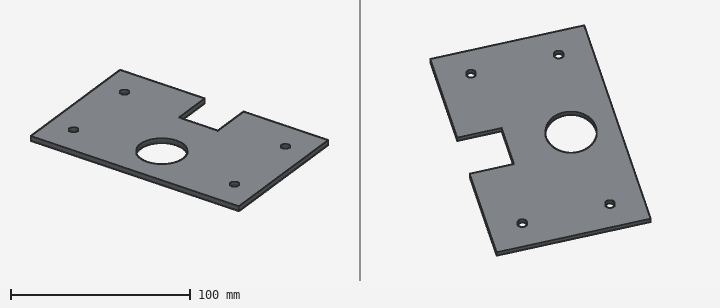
import cadquery as cq

length = 139.7
width = 88.8
thickness = 3.2

notch_width = 26.0
notch_depth = 25.5

opening_diameter = 28.6
opening_from_front = 26.8

mount_diameter = 5.5
mount_spacing_x = 108.0
mount_spacing_y = 50.6
front_mounts_from_front = 19.1

front_edge = -width / 2
back_edge = width / 2
opening_y = front_edge + opening_from_front
mount_pattern_y = front_edge + front_mounts_from_front + mount_spacing_y / 2

plate = cq.Workplane("XY").box(length, width, thickness)

notch = (
    cq.Workplane("XY")
    .center(0, back_edge - notch_depth / 2)
    .rect(notch_width, notch_depth)
    .extrude(thickness, both=True)
)

opening = (
    cq.Workplane("XY")
    .center(0, opening_y)
    .circle(opening_diameter / 2)
    .extrude(thickness, both=True)
)

mount_holes = (
    cq.Workplane("XY")
    .center(0, mount_pattern_y)
    .rect(mount_spacing_x, mount_spacing_y, forConstruction=True)
    .vertices()
    .circle(mount_diameter / 2)
    .extrude(thickness, both=True)
)

result = plate.cut(notch).cut(opening).cut(mount_holes)